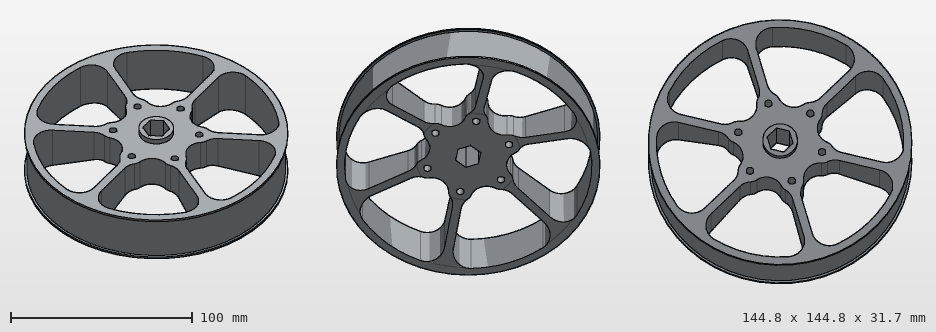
import cadquery as cq
import math

outer_diameter = 144.8
wheel_height = 28.5
flange_thickness = 1.27
flange_step = 1.27
rim_inner_radius = 67.9

hub_diameter = 19.1
total_height = 31.7
hex_across_flats = 12.7

spoke_count = 6
spoke_width = 4.9
bolt_circle_radius = 23.7
bolt_hole_diameter = 4.0
bolt_pad_radius = 6.5

recess_depth = 9.5
recess_roof_radius = 29.0
recess_mouth_radius = 67.3

rim_fillet = 9.7
root_fillet = 9.0
valley_radius = 9.1

spoke_pitch = 360.0 / spoke_count
half_pitch = math.radians(spoke_pitch / 2)


def polar(radius, angle):
    return (radius * math.cos(angle), radius * math.sin(angle))


def toward(start, end, distance):
    """Point at a given distance from start on the ray through end."""
    length = math.dist(start, end)
    return tuple(s + (e - s) * distance / length for s, e in zip(start, end))


def arc_middle(center, start, end):
    """Middle of the short arc from start to end about center."""
    chord_middle = ((start[0] + end[0]) / 2, (start[1] + end[1]) / 2)
    return toward(center, chord_middle, math.dist(center, start))


def mirrored(point):
    """Reflect a point in the pocket's own symmetry line."""
    return polar(math.hypot(*point), 2 * half_pitch - math.atan2(point[1], point[0]))


def make_pocket():
    """Through pocket between the spoke along +X and the next one."""
    origin = (0.0, 0.0)
    spoke_edge = spoke_width / 2
    pad_center = (bolt_circle_radius, 0.0)

    rim_fillet_y = spoke_edge + rim_fillet
    rim_fillet_x = math.sqrt((rim_inner_radius - rim_fillet) ** 2 - rim_fillet_y ** 2)
    rim_fillet_center = (rim_fillet_x, rim_fillet_y)
    rim_end = toward(origin, rim_fillet_center, rim_inner_radius)
    spoke_outer = (rim_fillet_x, spoke_edge)

    root_y = spoke_edge + root_fillet
    root_x = bolt_circle_radius + math.sqrt((bolt_pad_radius + root_fillet) ** 2 - root_y ** 2)
    root_center = (root_x, root_y)
    spoke_inner = (root_x, spoke_edge)
    pad_outer = toward(pad_center, root_center, bolt_pad_radius)

    pad_offset = bolt_circle_radius * math.sin(half_pitch)
    valley_reach = math.sqrt((bolt_pad_radius + valley_radius) ** 2 - pad_offset ** 2)
    valley_center_radius = bolt_circle_radius * math.cos(half_pitch) + valley_reach
    valley_center = polar(valley_center_radius, half_pitch)
    pad_inner = toward(pad_center, valley_center, bolt_pad_radius)

    rim_fillet_middle = arc_middle(rim_fillet_center, rim_end, spoke_outer)
    root_middle = arc_middle(root_center, spoke_inner, pad_outer)
    pad_middle = arc_middle(pad_center, pad_outer, pad_inner)
    valley_middle = polar(valley_center_radius - valley_radius, half_pitch)
    rim_middle = polar(rim_inner_radius, half_pitch)

    return (
        cq.Workplane("XY")
        .moveTo(*rim_end)
        .threePointArc(rim_fillet_middle, spoke_outer)
        .lineTo(*spoke_inner)
        .threePointArc(root_middle, pad_outer)
        .threePointArc(pad_middle, pad_inner)
        .threePointArc(valley_middle, mirrored(pad_inner))
        .threePointArc(mirrored(pad_middle), mirrored(pad_outer))
        .threePointArc(mirrored(root_middle), mirrored(spoke_inner))
        .lineTo(*mirrored(spoke_outer))
        .threePointArc(mirrored(rim_fillet_middle), mirrored(rim_end))
        .threePointArc(rim_middle, rim_end)
        .close()
        .extrude(wheel_height)
    )


def make_wheel_blank():
    """Disc with a flange at each end of the outer band, and the raised hub."""
    outer_radius = outer_diameter / 2
    band_height = wheel_height - 2 * flange_thickness
    disc = cq.Workplane("XY").circle(outer_radius).extrude(wheel_height)
    groove = (
        cq.Workplane("XY", origin=(0, 0, flange_thickness))
        .circle(outer_radius)
        .circle(outer_radius - flange_step)
        .extrude(band_height)
    )
    hub = cq.Workplane("XY").circle(hub_diameter / 2).extrude(total_height)
    return disc.cut(groove).union(hub)


def make_recess():
    """Hollow under the web that thins the spokes steadily from rim to hub."""
    return (
        cq.Workplane("XZ")
        .lineTo(recess_mouth_radius, 0)
        .lineTo(recess_roof_radius, recess_depth)
        .lineTo(0, recess_depth)
        .close()
        .revolve(360, (0, 0, 0), (0, 1, 0))
    )


def make_bolt_holes():
    return (
        cq.Workplane("XY")
        .polarArray(bolt_circle_radius, 0, 360, spoke_count)
        .circle(bolt_hole_diameter / 2)
        .extrude(wheel_height)
    )


def make_hex_bore():
    """Hexagonal bore with two corners on the X axis."""
    sides = 6
    across_corners = hex_across_flats / math.cos(math.pi / sides)
    return cq.Workplane("XY").polygon(sides, across_corners).extrude(total_height)


result = make_wheel_blank().cut(make_recess()).cut(make_bolt_holes()).cut(make_hex_bore())
pocket = make_pocket()
for index in range(spoke_count):
    result = result.cut(pocket.rotate((0, 0, 0), (0, 0, 1), index * spoke_pitch))